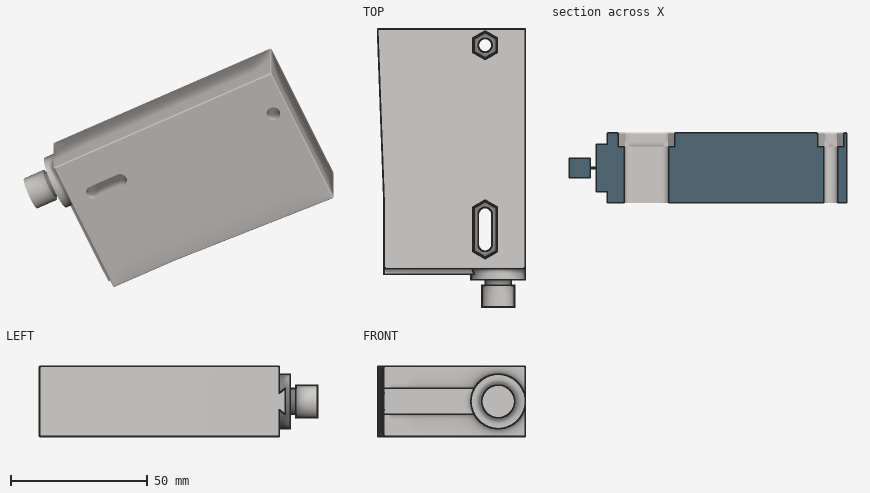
import cadquery as cq
import math

total_width = 54.3
height = 25.8
body_length = 88.0
taper = 2.3
straight_length = 25.0
edge_radius = 0.5

front_y = -body_length
left_x = taper - total_width
mid_z = height / 2

rail_depth = 2.0
rail_root_width = 6.1
rail_tip_width = 9.5

flange_diameter = 20.0
connector_steps = [(flange_diameter, 4.0), (9.6, 2.0), (12.0, 8.0)]
connector_x = -flange_diameter / 2

hole_diameter = 5.0
hole_x = -14.8
back_hole_y = -6.0
slot_front_y = front_y + 9.0
slot_travel = 11.0
nut_width = 8.2
nut_depth = 5.0
nut_chamfer = 0.4


def make_body():
    outline = [
        (0, 0),
        (-total_width, 0),
        (left_x, front_y + straight_length),
        (left_x, front_y),
        (0, front_y),
    ]
    body = cq.Workplane("XY").polyline(outline).close().extrude(height)
    body = body.edges("|Z and >Y").fillet(edge_radius)
    return body.faces("<Z or >Z").edges().fillet(edge_radius)


def make_rail():
    profile = [
        (front_y, mid_z - rail_root_width / 2),
        (front_y - rail_depth, mid_z - rail_tip_width / 2),
        (front_y - rail_depth, mid_z + rail_tip_width / 2),
        (front_y, mid_z + rail_root_width / 2),
    ]
    rail = cq.Workplane("YZ", origin=(left_x, 0, 0)).polyline(profile).close()
    return rail.extrude(connector_x - left_x)


def make_connector():
    connector = cq.Workplane("XY")
    step_y = front_y
    for diameter, length in connector_steps:
        step = cq.Workplane("XZ", origin=(connector_x, step_y, mid_z))
        connector = connector.add(step.circle(diameter / 2).extrude(length))
        step_y -= length
    return connector.combine()


def nut_outline(width, travel):
    """Hexagon with its points along Y, stretched in Y by the travel."""
    half_width = width / 2
    shoulder_y = (width / math.sqrt(3) + travel) / 2
    point_y = width / math.sqrt(3) + travel / 2
    return [
        (half_width, shoulder_y),
        (0, point_y),
        (-half_width, shoulder_y),
        (-half_width, -shoulder_y),
        (0, -point_y),
        (half_width, -shoulder_y),
    ]


def make_opening(center_y, travel=0):
    """Cutter for a through hole or slot under a chamfered nut pocket."""
    base = cq.Workplane("XY", origin=(hole_x, center_y, 0))
    if travel:
        through = base.slot2D(travel + hole_diameter, hole_diameter, 90).extrude(height)
    else:
        through = base.circle(hole_diameter / 2).extrude(height)
    top = base.workplane(offset=height)
    pocket = top.polyline(nut_outline(nut_width, travel)).close().extrude(-nut_depth)
    mouth = top.polyline(nut_outline(nut_width + 2 * nut_chamfer, travel)).close()
    mouth = mouth.extrude(-nut_chamfer, taper=45)
    return through.union(pocket).union(mouth)


result = (
    make_body()
    .union(make_rail())
    .union(make_connector())
    .cut(make_opening(back_hole_y))
    .cut(make_opening(slot_front_y + slot_travel / 2, slot_travel))
)